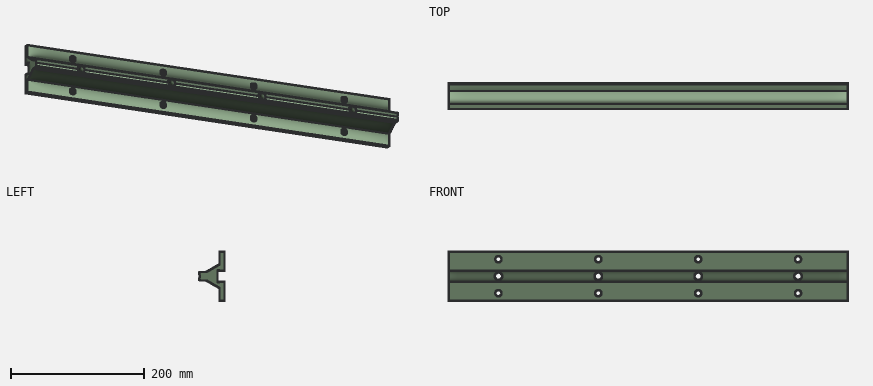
import cadquery as cq
import math

length = 599.5
depth = 39.01
height = 74.0

flange_thickness = 8.0
slot_width = 16.0
slot_depth = 10.5
slot_lip_length = 8.5
slot_undercut = 0.8
nose_width = 13.0
nose_length = 11.3
nose_chamfer_length = 2.0
nose_chamfer_width = 1.0
nose_groove_depth = 1.5
web_angle = 30.0

hole_count = 4
hole_pitch = 150.0
nose_hole_diameter = 11.0
flange_hole_diameter = 9.0
flange_hole_spacing = 51.0

half_height = height / 2
half_slot = slot_width / 2
half_nose = nose_width / 2
nose_start = depth - nose_length
web_rise = (nose_start - flange_thickness) * math.tan(math.radians(web_angle))
web_root = half_nose + web_rise


def make_rail():
    """Extrude the symmetric cross-section along X, centred on X = 0."""
    upper_half = [
        (slot_depth, half_slot + slot_undercut),
        (slot_lip_length, half_slot + slot_undercut),
        (slot_lip_length, half_slot),
        (0, half_slot),
        (0, half_height),
        (flange_thickness, half_height),
        (flange_thickness, web_root),
        (nose_start, half_nose),
        (depth - nose_chamfer_length, half_nose),
        (depth, half_nose - nose_chamfer_width),
    ]
    groove_bottom = (depth - nose_groove_depth, 0)
    lower_half = [(y, -z) for y, z in reversed(upper_half)]
    profile = cq.Workplane("YZ").polyline(upper_half + [groove_bottom] + lower_half).close()
    return profile.extrude(length / 2, both=True)


def make_hole_row(z, diameter):
    """Cylinders along Y that cut a row of through holes at height z."""
    first_x = -hole_pitch * (hole_count - 1) / 2
    centres = [(first_x + i * hole_pitch, z) for i in range(hole_count)]
    return cq.Workplane("XZ").pushPoints(centres).circle(diameter / 2).extrude(-depth)


result = make_rail().cut(make_hole_row(0, nose_hole_diameter))
for side in (1, -1):
    result = result.cut(make_hole_row(side * flange_hole_spacing / 2, flange_hole_diameter))